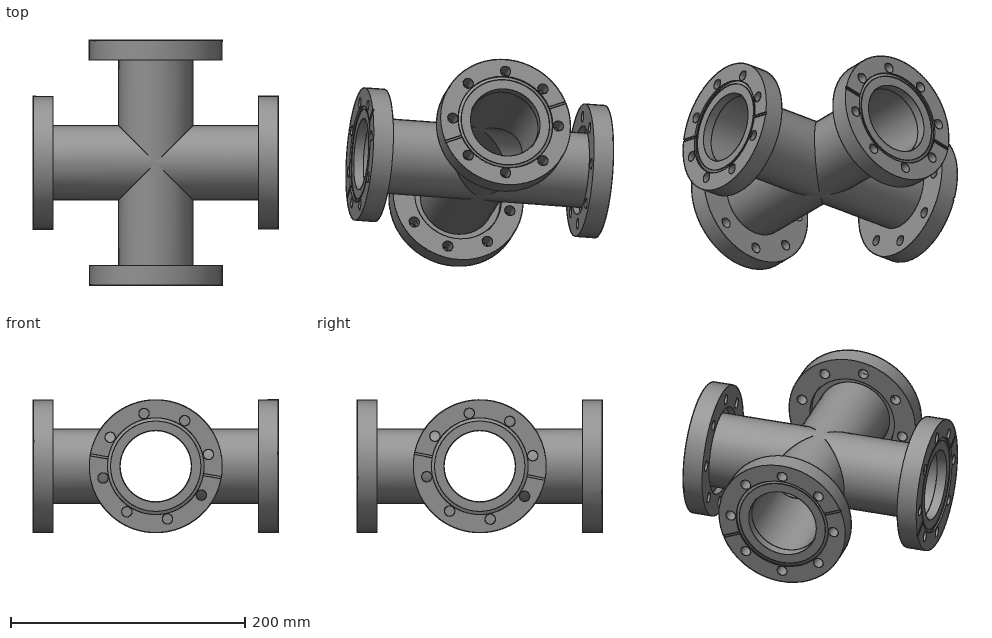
import cadquery as cq

span = 209.5
flange_radius = 56.8
flange_thickness = 17.2

tube_radius = 31.9
bore_radius = 30.4
tube_seat_depth = 9.6

bolt_circle_radius = 46.1
bolt_hole_radius = 4.5
bolt_count = 8
bolt_pitch = 360 / bolt_count

recess_radius = 41.3
recess_depth = 1.7
knife_radius = 38.5
knife_depth = 0.6
inner_face_depth = 1.3

leak_groove_width = 1.9
leak_groove_depth = 0.8

collar_depth = 8.8
hub_radius = 38.0
hub_gap = 5.7

fixed_groove_angle = bolt_pitch / 2
front_groove_angle = -9.9
right_groove_angle = -11.3

half_span = span / 2
left_port = cq.Plane((-half_span, 0, 0), xDir=(0, -1, 0), normal=(-1, 0, 0))
right_port = cq.Plane((half_span, 0, 0), xDir=(0, 1, 0), normal=(1, 0, 0))
front_port = cq.Plane((0, -half_span, 0), xDir=(1, 0, 0), normal=(0, -1, 0))
back_port = cq.Plane((0, half_span, 0), xDir=(-1, 0, 0), normal=(0, 1, 0))


def revolve_profile(points):
    """Revolve (radius, height) points about the local port axis."""
    return cq.Workplane("XZ").polyline(points).close().revolve(360, (0, 0), (0, 1))


sealing_profile = [
    (recess_radius, -recess_depth),
    (knife_radius, -knife_depth),
    (knife_radius, -inner_face_depth),
    (bore_radius, -inner_face_depth),
    (bore_radius, -tube_seat_depth),
    (tube_radius, -tube_seat_depth),
]


def cut_bolt_holes_and_grooves(body, groove_angle):
    """Drill the bolt circle and cut two opposite leak grooves midway between holes."""
    holes = (
        cq.Workplane("XY")
        .polarArray(bolt_circle_radius, groove_angle + bolt_pitch / 2, 360, bolt_count)
        .circle(bolt_hole_radius)
        .extrude(-flange_thickness)
    )
    groove_bar = (
        cq.Workplane("XY")
        .rect(2 * flange_radius, leak_groove_width)
        .extrude(-leak_groove_depth)
        .rotate((0, 0, 0), (0, 0, 1), groove_angle)
    )
    recess_core = cq.Workplane("XY").circle(recess_radius).extrude(-leak_groove_depth)
    return body.cut(holes).cut(groove_bar.cut(recess_core))


def make_fixed_flange(port):
    """One-piece flange with its knife edge, bolt holes and tube socket."""
    profile = [
        (flange_radius, -flange_thickness),
        (flange_radius, 0),
        (recess_radius, 0),
        *sealing_profile,
        (tube_radius, -flange_thickness),
    ]
    flange = cut_bolt_holes_and_grooves(revolve_profile(profile), fixed_groove_angle)
    return flange.solids().val().moved(cq.Location(port))


def make_rotatable_ring(port, groove_angle):
    """Bolt ring that turns on the insert and clamps its collar."""
    profile = [
        (flange_radius, -flange_thickness),
        (flange_radius, 0),
        (recess_radius, 0),
        (recess_radius, -collar_depth),
        (hub_radius, -collar_depth),
        (hub_radius, -flange_thickness),
    ]
    ring = cut_bolt_holes_and_grooves(revolve_profile(profile), groove_angle)
    return ring.solids().val().moved(cq.Location(port))


def make_weld_insert(port):
    """Stepped insert inside a rotatable ring, carrying the knife edge and tube socket."""
    insert_back = hub_gap - flange_thickness
    profile = [
        *sealing_profile,
        (tube_radius, insert_back),
        (hub_radius, insert_back),
        (hub_radius, -collar_depth),
        (recess_radius, -collar_depth),
    ]
    return revolve_profile(profile).solids().val().moved(cq.Location(port))


def make_tube_cross():
    """Two crossing tubes, mitred into one body and open at all four ends."""
    half_length = half_span - tube_seat_depth

    def crossing_cylinders(radius):
        along_x = cq.Workplane("YZ").circle(radius).extrude(half_length, both=True)
        along_y = cq.Workplane("XZ").circle(radius).extrude(half_length, both=True)
        return along_x.union(along_y)

    return crossing_cylinders(tube_radius).cut(crossing_cylinders(bore_radius))


tube_cross = make_tube_cross()
fixed_flanges = [make_fixed_flange(port) for port in (left_port, back_port)]
rotatable_ports = [(front_port, front_groove_angle), (right_port, right_groove_angle)]
rotatable_rings = [make_rotatable_ring(port, angle) for port, angle in rotatable_ports]
weld_inserts = [make_weld_insert(port) for port, _ in rotatable_ports]

result = cq.Compound.makeCompound(
    [tube_cross.solids().val(), *fixed_flanges, *rotatable_rings, *weld_inserts]
)